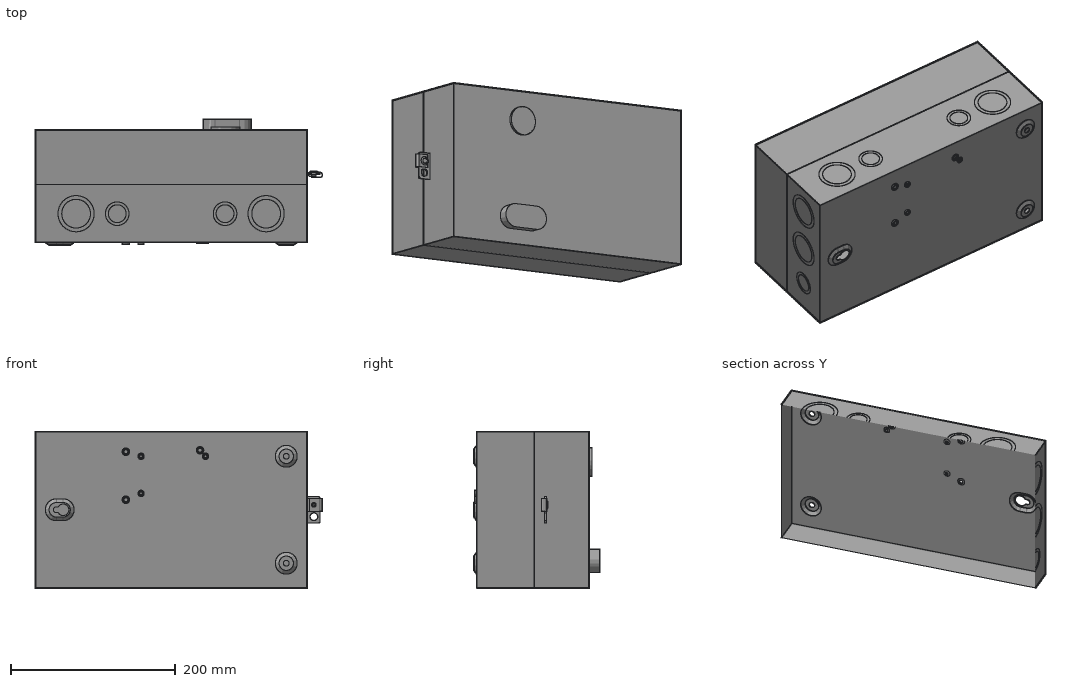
import cadquery as cq

overall_length = 349.0
box_length = 330.5
box_depth = 137.5
box_height = 190.5
wall = 1.0
seam_y = 70.5
front_edge_radius = 0.7
end_recess = 0.17
end_rim = 0.7
mid_height = box_height / 2

groove_depth = 0.5
large_knockout = (22.0, 17.5)
small_knockout = (14.3, 10.8)
knockout_y = seam_y / 2
top_large_inset = 50.0
top_small_inset = 99.8
side_upper_z = 155.3
side_lower_z = 40.0

foot_radius = 13.3
foot_top_radius = 8.7
foot_height = 3.3
foot_hole_radius = 3.5
foot_inset_x = 25.5
foot_inset_z = 30.5

key_center_x = 30.0
key_half_span = 4.2
key_head_radius = 7.0
key_slot_radius = 3.5

large_boss_radius = 4.5
small_boss_radius = 4.0
large_boss_hole_radius = 2.5
small_boss_hole_radius = 1.7
boss_countersink = 0.87
tall_boss = 2.0
low_boss = 1.0
large_bosses = [(110.3, 165.8, tall_boss), (110.3, 107.5, tall_boss), (200.5, 167.5, low_boss)]
small_bosses = [(128.8, 160.2, tall_boss), (128.8, 115.0, tall_boss), (207.0, 160.2, low_boss)]

knob_x = 233.5
knob_z = 33.0
knob_length = 58.5
knob_width = 28.5
knob_height = 12.5
button_x = 231.5
button_z = 153.2
button_radius = 17.5
button_height = 3.0

hasp_front_y = 83.0
hasp_thickness = 2.0
hasp_back_y = hasp_front_y + hasp_thickness
hasp_reach = 15.7
hasp_height = 32.5
hasp_corner_radius = 2.5
hasp_hole_radius = 4.5
hasp_hole_z = 87.0
fastening_x = 338.5

clip_sheet = 0.52
clip_width = 15.7
clip_mid_z = 101.2
clip_bend_radius = 3.5
clip_bend_x = overall_length - clip_bend_radius
clip_gap = 0.17
clip_back_y = hasp_back_y + clip_gap + clip_sheet
clip_bend_y = clip_back_y - clip_bend_radius
clip_back_x = 334.0
clip_kink_x = 333.0
clip_kink_y = 80.5

rivet_radius = 2.8
rivet_front_y = 79.2
rivet_bore_radius = 1.5
rivet_bore_depth = 1.7
rivet_head_radius = 5.2
rivet_head_top_radius = 3.5
rivet_head_height = 1.5


def box_between(x0, x1, y0, y1, z0, z1):
    """Box given by its limits along each axis."""
    return cq.Workplane("XY").box(x1 - x0, y1 - y0, z1 - z0, centered=False).translate((x0, y0, z0))


def cylinder_y(x, z, radius, y0, y1):
    """Cylinder along Y from y0 to y1."""
    return cq.Workplane(cq.Solid.makeCylinder(radius, y1 - y0, cq.Vector(x, y0, z), cq.Vector(0, 1, 0)))


def cone_y(x, z, start_radius, end_radius, start_y, height, direction):
    """Truncated cone along Y, growing towards +Y or -Y."""
    axis = cq.Vector(0, direction, 0)
    return cq.Workplane(cq.Solid.makeCone(start_radius, end_radius, height, cq.Vector(x, start_y, z), axis))


def knockout_groove(radii, center, inward):
    """Shallow ring cut into a wall at center, going inward."""
    outer, inner = (
        cq.Workplane(cq.Solid.makeCylinder(radius, groove_depth, cq.Vector(*center), cq.Vector(*inward)))
        for radius in radii
    )
    return outer.cut(inner)


def recess_end_walls(shell, y0, y1):
    """Sink both end walls of a shell between y0 and y1, leaving a narrow rim."""
    for x in (0, box_length - end_recess):
        shell = shell.cut(box_between(x, x + end_recess, y0, y1, end_rim, box_height - end_rim))
    return shell


def emboss(base, foot):
    """Push a foot out of the front wall, hollow behind by the same shape."""
    return base.union(foot).cut(foot.translate((0, wall, 0)))


def keyhole_foot():
    """Oblong tapered foot: two cones joined by a straight stretch."""
    foot = (
        cq.Workplane("YZ")
        .polyline([
            (0, mid_height - foot_radius),
            (0, mid_height + foot_radius),
            (-foot_height, mid_height + foot_top_radius),
            (-foot_height, mid_height - foot_top_radius),
        ])
        .close()
        .extrude(2 * key_half_span)
        .translate((key_center_x - key_half_span, 0, 0))
    )
    for side in (-1, 1):
        end_x = key_center_x + side * key_half_span
        foot = foot.union(cone_y(end_x, mid_height, foot_radius, foot_top_radius, 0, foot_height, -1))
    return foot


def keyhole():
    """Keyhole cutter through foot and front wall, slot towards -X."""
    slot_x = key_center_x - key_half_span
    head_x = key_center_x + key_half_span
    head = cylinder_y(head_x, mid_height, key_head_radius, -foot_height, wall)
    slot_end = cylinder_y(slot_x, mid_height, key_slot_radius, -foot_height, wall)
    slot = box_between(
        slot_x, head_x, -foot_height, wall, mid_height - key_slot_radius, mid_height + key_slot_radius
    )
    return head.union(slot_end).union(slot)


def make_base():
    base = (
        box_between(0, box_length, 0, seam_y, 0, box_height)
        .faces("<Y").edges().fillet(front_edge_radius)
        .cut(box_between(wall, box_length - wall, wall, seam_y, wall, box_height - wall))
    )
    base = recess_end_walls(base, front_edge_radius, seam_y - end_rim)

    for inset, radii in ((top_large_inset, large_knockout), (top_small_inset, small_knockout)):
        for x in (inset, box_length - inset):
            base = base.cut(knockout_groove(radii, (x, knockout_y, box_height), (0, 0, -1)))

    for z, radii in (
        (side_upper_z, large_knockout), (mid_height, large_knockout), (side_lower_z, small_knockout)
    ):
        base = base.cut(knockout_groove(radii, (end_recess, knockout_y, z), (1, 0, 0)))

    foot_x = box_length - foot_inset_x
    for z in (foot_inset_z, box_height - foot_inset_z):
        base = emboss(base, cone_y(foot_x, z, foot_radius, foot_top_radius, 0, foot_height, -1))
        base = base.cut(cylinder_y(foot_x, z, foot_hole_radius, -foot_height, wall))

    base = emboss(base, keyhole_foot()).cut(keyhole())

    for radius, hole_radius, places in (
        (large_boss_radius, large_boss_hole_radius, large_bosses),
        (small_boss_radius, small_boss_hole_radius, small_bosses),
    ):
        for x, z, height in places:
            base = base.union(cylinder_y(x, z, radius, -height, 0))
            base = base.cut(cylinder_y(x, z, hole_radius, -height, wall))
            mouth_radius = hole_radius + boss_countersink
            base = base.cut(cone_y(x, z, mouth_radius, hole_radius, -height, boss_countersink, 1))
    return base


def make_cover():
    outside = box_between(0, box_length, seam_y, box_depth, 0, box_height)
    inside = box_between(wall, box_length - wall, seam_y, box_depth - wall, wall, box_height - wall)
    return recess_end_walls(outside.cut(inside), seam_y, box_depth - end_rim)


def make_knob():
    return (
        cq.Workplane("XZ", origin=(knob_x, box_depth, knob_z))
        .slot2D(knob_length, knob_width)
        .extrude(-knob_height)
    )


def make_button():
    return cylinder_y(button_x, button_z, button_radius, box_depth, box_depth + button_height)


def rivet_shank():
    """Plain shank of the rivet, also the cutter for its holes."""
    return cylinder_y(fastening_x, clip_mid_z, rivet_radius, rivet_front_y, clip_back_y)


def make_hasp():
    bottom = mid_height - hasp_height / 2
    plate = box_between(
        box_length, box_length + hasp_reach, hasp_front_y, hasp_back_y, bottom, bottom + hasp_height
    )
    plate = plate.edges("|Y and >X").fillet(hasp_corner_radius)
    lock_hole = cylinder_y(fastening_x, hasp_hole_z, hasp_hole_radius, hasp_front_y, hasp_back_y)
    return plate.cut(lock_hole).cut(rivet_shank())


def make_clip():
    inner_radius = clip_bend_radius - clip_sheet
    profile = (
        cq.Workplane("XY")
        .moveTo(clip_back_x, clip_bend_y + clip_bend_radius)
        .lineTo(clip_bend_x, clip_bend_y + clip_bend_radius)
        .threePointArc((clip_bend_x + clip_bend_radius, clip_bend_y),
                       (clip_bend_x, clip_bend_y - clip_bend_radius))
        .lineTo(clip_kink_x, clip_kink_y)
        .lineTo(box_length, hasp_front_y - clip_sheet)
        .lineTo(box_length, hasp_front_y)
        .lineTo(clip_kink_x, clip_kink_y + clip_sheet)
        .lineTo(clip_bend_x, clip_bend_y - inner_radius)
        .threePointArc((clip_bend_x + inner_radius, clip_bend_y),
                       (clip_bend_x, clip_bend_y + inner_radius))
        .lineTo(clip_back_x, clip_bend_y + inner_radius)
        .close()
    )
    clip = profile.extrude(clip_width).translate((0, 0, clip_mid_z - clip_width / 2))
    return clip.cut(rivet_shank())


def make_rivet():
    head = cone_y(
        fastening_x, clip_mid_z, rivet_head_radius, rivet_head_top_radius, clip_back_y, rivet_head_height, 1
    )
    bore = cylinder_y(
        fastening_x, clip_mid_z, rivet_bore_radius, rivet_front_y, rivet_front_y + rivet_bore_depth
    )
    return rivet_shank().union(head).cut(bore)


base = make_base()
cover = make_cover()
knob = make_knob()
button = make_button()
hasp = make_hasp()
clip = make_clip()
rivet = make_rivet()

bodies = [base, cover, knob, button, hasp, clip, rivet]
result = cq.Compound.makeCompound([body.val() for body in bodies])